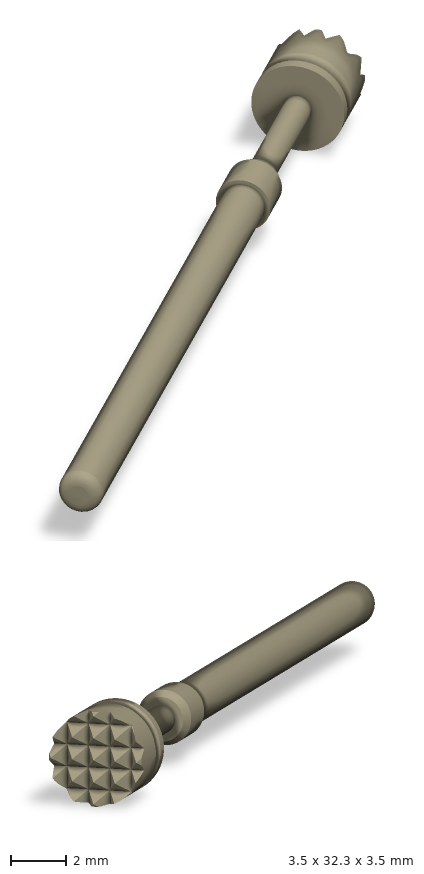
import cadquery as cq
import math

total_length = 32.3
head_length = 3.0
stem_length = 5.33
collar_length = 1.97

head_diameter = 3.5
stem_diameter = 1.03
collar_diameter = 2.05
barrel_diameter = 1.65

barrel_end_radius = 0.42
collar_taper_length = 0.4
collar_taper_depth = 0.2

groove_offset = 0.7
groove_width = 0.58
groove_depth = 0.1

tooth_pitch = 0.8
tooth_depth = 0.7

tip_y = total_length / 2
barrel_end_y = -total_length / 2
head_base_y = tip_y - head_length
collar_top_y = head_base_y - stem_length
collar_base_y = collar_top_y - collar_length
groove_y = head_base_y + groove_offset

head_radius = head_diameter / 2
stem_radius = stem_diameter / 2
collar_radius = collar_diameter / 2
barrel_radius = barrel_diameter / 2


def make_turned_body():
    """Revolve the half profile (radius along X, length along Y) about the Y axis."""
    end_flat_radius = barrel_radius - barrel_end_radius
    arc_offset = barrel_end_radius * math.sqrt(0.5)
    fillet_centre_y = barrel_end_y + barrel_end_radius
    profile = (
        cq.Workplane("XY")
        .moveTo(0, barrel_end_y)
        .lineTo(end_flat_radius, barrel_end_y)
        .threePointArc(
            (end_flat_radius + arc_offset, fillet_centre_y - arc_offset),
            (barrel_radius, fillet_centre_y),
        )
        .lineTo(barrel_radius, collar_base_y)
        .lineTo(collar_radius, collar_base_y)
        .lineTo(collar_radius, collar_top_y - collar_taper_length)
        .lineTo(collar_radius - collar_taper_depth, collar_top_y)
        .lineTo(stem_radius, collar_top_y)
        .lineTo(stem_radius, head_base_y)
        .lineTo(head_radius, head_base_y)
        .lineTo(head_radius, groove_y - groove_width / 2)
        .threePointArc(
            (head_radius - groove_depth, groove_y),
            (head_radius, groove_y + groove_width / 2),
        )
        .lineTo(head_radius, tip_y)
        .lineTo(0, tip_y)
        .close()
    )
    return profile.revolve(360, (0, 0, 0), (0, 1, 0))


def make_tooth_grooves():
    """Parallel V-grooves running along Z, placed so that a row of tips stands at X = 0."""
    grooves_per_side = math.ceil(head_radius / tooth_pitch)
    grooves = cq.Workplane("XY")
    for index in range(-grooves_per_side, grooves_per_side):
        left_tip_x = index * tooth_pitch
        groove = (
            cq.Workplane("XY")
            .moveTo(left_tip_x, tip_y)
            .lineTo(left_tip_x + tooth_pitch / 2, tip_y - tooth_depth)
            .lineTo(left_tip_x + tooth_pitch, tip_y)
            .close()
            .extrude(head_radius, both=True)
        )
        grooves = grooves.add(groove)
    return grooves.combine()


grooves_along_z = make_tooth_grooves()
grooves_along_x = grooves_along_z.rotate((0, 0, 0), (0, 1, 0), 90)
result = make_turned_body().cut(grooves_along_z).cut(grooves_along_x)